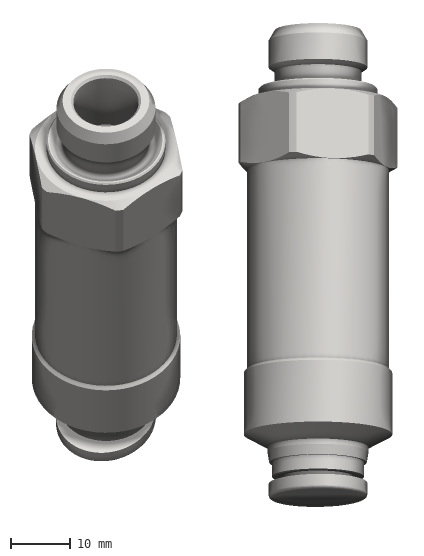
import cadquery as cq
import math


HEAD_SIZE_X = 16.5
HEAD_SIZE_Y = 19.0
HEAD_HEIGHT = 2.4
HEAD_ROUNDING = 0.5
STEM_DIAMETER = 11.8
STEM_TOP_Z = 3.6
COLLAR_DIAMETER = 15.5
COLLAR_TOP_Z = 6.0

HOUSING_BOTTOM_Z = COLLAR_TOP_Z
NOSE_TAPER_TOP_Z = 7.7
NOSE_TOP_Z = 8.6
SHOULDER_BOTTOM_Z = 10.8
SHOULDER_TOP_Z = 21.9
HEX_BOTTOM_Z = 55.9
HEX_HEIGHT = 12.0
HEX_TOP_Z = HEX_BOTTOM_Z + HEX_HEIGHT
SEAT_HEIGHT = 2.1
SEAT_TOP_Z = HEX_TOP_Z + SEAT_HEIGHT
TOP_Z = 79.8

NOSE_TIP_RADIUS = 8.2
NOSE_RADIUS = 8.5
SHOULDER_RADIUS = 12.5
BARREL_RADIUS = 11.95
SHOULDER_CHAMFER = SHOULDER_RADIUS - BARREL_RADIUS
NECK_RADIUS = 7.3
THREAD_RADIUS = 16.66 / 2

HEX_ACROSS_FLATS = 24.0
HEX_CORNER_RADIUS = 13.5
HEX_BEVEL_RADIUS = BARREL_RADIUS
HEX_BEVEL_ANGLE = 30

THREAD_BOTTOM_Z = 73.5
THREAD_RUNOUT_ANGLE = 35
THREAD_LEAD_ANGLE = 60

SEAT_RADIUS = 10.0
SEAT_EDGE_CHAMFER = 0.25
SEAT_RECESS_RADIUS = 9.5
SEAT_RECESS_ANGLE = 40
NECK_FILLET = 0.73

BORE_DIAMETER = 11.0
BORE_CHAMFER = 0.4
BORE_DEPTH = TOP_Z - HEX_TOP_Z


def rise(run, angle):
    """Height gained over a radial run on a slope of the given angle."""
    return run * math.tan(math.radians(angle))


def turned_outline():
    """Half section of the housing without its hexagon, as (radius, z) on the XZ plane."""
    thread_step = THREAD_RADIUS - NECK_RADIUS
    slope = math.radians(SEAT_RECESS_ANGLE)
    half_turn = (math.pi / 2 + slope) / 2

    fillet_center_r = NECK_RADIUS + NECK_FILLET
    fillet_end_r = fillet_center_r + NECK_FILLET * math.sin(slope)
    fillet_end_z = SEAT_TOP_Z - rise(SEAT_RECESS_RADIUS - fillet_end_r, SEAT_RECESS_ANGLE)
    fillet_center_z = fillet_end_z + NECK_FILLET * math.cos(slope)
    fillet_middle = (
        fillet_center_r - NECK_FILLET * math.cos(half_turn),
        fillet_center_z - NECK_FILLET * math.sin(half_turn),
    )

    return (
        cq.Workplane("XZ")
        .moveTo(0, HOUSING_BOTTOM_Z)
        .lineTo(NOSE_TIP_RADIUS, HOUSING_BOTTOM_Z)
        .lineTo(NOSE_RADIUS, NOSE_TAPER_TOP_Z)
        .lineTo(NOSE_RADIUS, NOSE_TOP_Z)
        .lineTo(SHOULDER_RADIUS, SHOULDER_BOTTOM_Z)
        .lineTo(SHOULDER_RADIUS, SHOULDER_TOP_Z - SHOULDER_CHAMFER)
        .lineTo(BARREL_RADIUS, SHOULDER_TOP_Z)
        .lineTo(BARREL_RADIUS, HEX_TOP_Z)
        .lineTo(SEAT_RADIUS, HEX_TOP_Z)
        .lineTo(SEAT_RADIUS, SEAT_TOP_Z - SEAT_EDGE_CHAMFER)
        .lineTo(SEAT_RADIUS - SEAT_EDGE_CHAMFER, SEAT_TOP_Z)
        .lineTo(SEAT_RECESS_RADIUS, SEAT_TOP_Z)
        .lineTo(fillet_end_r, fillet_end_z)
        .threePointArc(fillet_middle, (NECK_RADIUS, fillet_center_z))
        .lineTo(NECK_RADIUS, THREAD_BOTTOM_Z - rise(thread_step, THREAD_RUNOUT_ANGLE))
        .lineTo(THREAD_RADIUS, THREAD_BOTTOM_Z)
        .lineTo(THREAD_RADIUS, TOP_Z - rise(thread_step, THREAD_LEAD_ANGLE))
        .lineTo(NECK_RADIUS, TOP_Z)
        .lineTo(0, TOP_Z)
        .close()
    )


def make_hexagon():
    """Hexagon with rounded corners, bevelled at both ends; two corners lie on the X axis."""
    across_corners = HEX_ACROSS_FLATS / math.cos(math.pi / 6)
    prism = (
        cq.Workplane("XY")
        .workplane(offset=HEX_BOTTOM_Z)
        .polygon(6, across_corners)
        .extrude(HEX_HEIGHT)
    )
    bevel_height = rise(HEX_CORNER_RADIUS - HEX_BEVEL_RADIUS, HEX_BEVEL_ANGLE)
    envelope = (
        cq.Workplane("XZ")
        .moveTo(0, HEX_BOTTOM_Z)
        .lineTo(HEX_BEVEL_RADIUS, HEX_BOTTOM_Z)
        .lineTo(HEX_CORNER_RADIUS, HEX_BOTTOM_Z + bevel_height)
        .lineTo(HEX_CORNER_RADIUS, HEX_TOP_Z - bevel_height)
        .lineTo(HEX_BEVEL_RADIUS, HEX_TOP_Z)
        .lineTo(0, HEX_TOP_Z)
        .close()
        .revolve(360, (0, 0), (0, 1))
    )
    return prism.intersect(envelope)


def make_bore():
    """Cutter for the flat-bottomed bore with its chamfered mouth."""
    radius = BORE_DIAMETER / 2
    return (
        cq.Workplane("XZ")
        .moveTo(0, TOP_Z - BORE_DEPTH)
        .lineTo(radius, TOP_Z - BORE_DEPTH)
        .lineTo(radius, TOP_Z - BORE_CHAMFER)
        .lineTo(radius + BORE_CHAMFER, TOP_Z)
        .lineTo(0, TOP_Z)
        .close()
        .revolve(360, (0, 0), (0, 1))
    )


def make_housing():
    """Turned body with the hexagon around its upper part and the bore in its top."""
    turned = turned_outline().revolve(360, (0, 0), (0, 1))
    return turned.union(make_hexagon()).cut(make_bore())


def make_fitting():
    """Oval head, narrow stem and round collar that butts against the housing."""
    head = (
        cq.Workplane("XY")
        .ellipse(HEAD_SIZE_X / 2, HEAD_SIZE_Y / 2)
        .extrude(HEAD_HEIGHT)
        .faces("<Z")
        .edges()
        .fillet(HEAD_ROUNDING)
    )
    stem = (
        cq.Workplane("XY")
        .workplane(offset=HEAD_HEIGHT)
        .circle(STEM_DIAMETER / 2)
        .extrude(STEM_TOP_Z - HEAD_HEIGHT)
    )
    collar = (
        cq.Workplane("XY")
        .workplane(offset=STEM_TOP_Z)
        .circle(COLLAR_DIAMETER / 2)
        .extrude(COLLAR_TOP_Z - STEM_TOP_Z)
    )
    return head.union(stem).union(collar)


housing = make_housing()
fitting = make_fitting()

result = cq.Compound.makeCompound([housing.val(), fitting.val()])